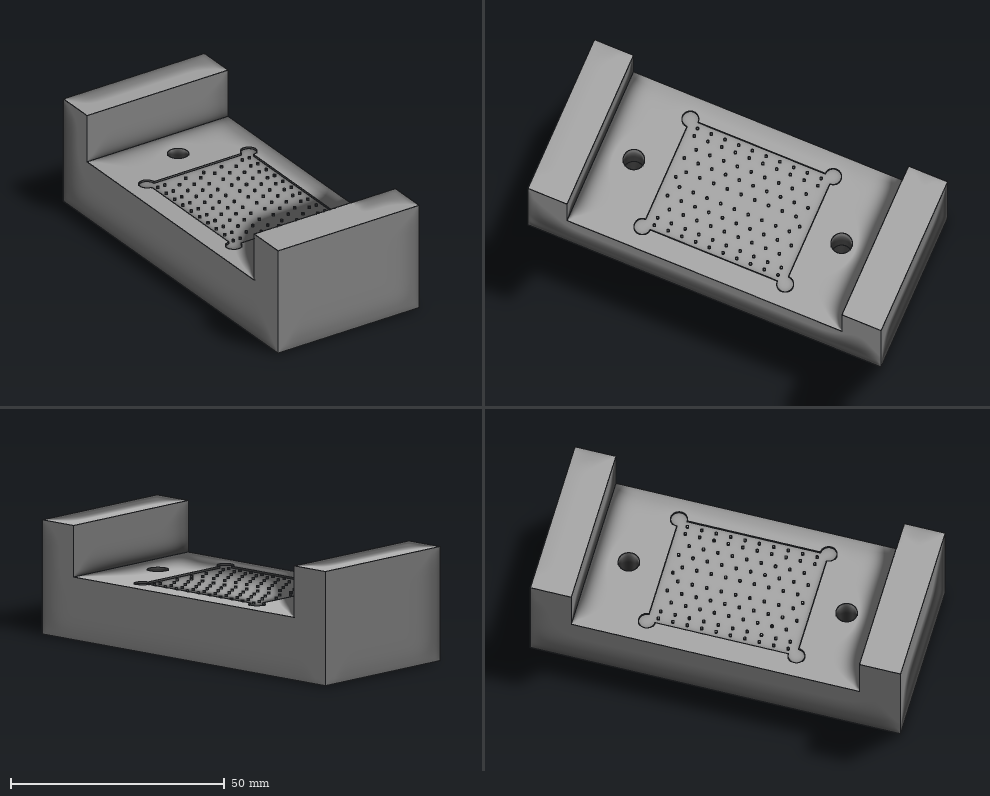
import cadquery as cq
import math

LENGTH = 90.0
WIDTH = 40.0
HEIGHT = 27.4
END_WALL = 10.0
FLOOR_HEIGHT = 15.0

POCKET_LENGTH = 36.4
POCKET_WIDTH = 28.8
POCKET_DEPTH = 0.45
RELIEF_DIAMETER = 4.0

DRILLED_DIAMETER = 5.0
DRILLED_DEPTH = 9.0
DRILL_POINT_ANGLE = 118
DRILLED_SPACING = 52.9

PIN_DIAMETER = 0.6
PIN_HEIGHT = 0.4
ROW_SPAN = 31.5
PINS_PER_FULL_ROW = 10
PIN_PITCH = ROW_SPAN / (PINS_PER_FULL_ROW - 1)
FULL_ROW_OFFSETS = [5.0, 11.0, 13.0]
STAGGERED_ROW_OFFSETS = [2.0, 8.0]


def make_body():
    """Block with a full-width channel that leaves a wall at each end."""
    block = cq.Workplane("XY").box(LENGTH, WIDTH, HEIGHT, centered=(True, True, False))
    channel = (
        cq.Workplane("XY")
        .workplane(offset=FLOOR_HEIGHT)
        .rect(LENGTH - 2 * END_WALL, WIDTH)
        .extrude(HEIGHT - FLOOR_HEIGHT)
    )
    return block.cut(channel)


def make_pocket():
    """Pocket volume with a relief circle centred on every corner."""
    bottom = cq.Workplane("XY").workplane(offset=FLOOR_HEIGHT - POCKET_DEPTH)
    pocket = bottom.rect(POCKET_LENGTH, POCKET_WIDTH).extrude(POCKET_DEPTH)
    reliefs = (
        bottom.rect(POCKET_LENGTH, POCKET_WIDTH, forConstruction=True)
        .vertices()
        .circle(RELIEF_DIAMETER / 2)
        .extrude(POCKET_DEPTH)
    )
    return pocket.union(reliefs)


def make_drilled_hole(x):
    """Straight-sided hole down from the channel floor, ending in a drill point."""
    radius = DRILLED_DIAMETER / 2
    point_depth = radius / math.tan(math.radians(DRILL_POINT_ANGLE / 2))
    tip_z = FLOOR_HEIGHT - DRILLED_DEPTH - point_depth
    return (
        cq.Workplane("XZ")
        .moveTo(0, FLOOR_HEIGHT)
        .lineTo(radius, FLOOR_HEIGHT)
        .lineTo(radius, FLOOR_HEIGHT - DRILLED_DEPTH)
        .lineTo(0, tip_z)
        .close()
        .revolve(360, (0, 0, 0), (0, 1, 0))
        .translate((x, 0, 0))
    )


def row_points(y, count):
    """Evenly pitched pin centres in one row, centred on X = 0."""
    first_x = -PIN_PITCH * (count - 1) / 2
    return [(first_x + i * PIN_PITCH, y) for i in range(count)]


def pin_points():
    """All pin centres, mirrored about the X axis, plus one at each end of it."""
    points = [(-ROW_SPAN / 2, 0), (ROW_SPAN / 2, 0)]
    for side in (-1, 1):
        for offset in FULL_ROW_OFFSETS:
            points += row_points(side * offset, PINS_PER_FULL_ROW)
        for offset in STAGGERED_ROW_OFFSETS:
            points += row_points(side * offset, PINS_PER_FULL_ROW - 1)
    return points


def make_pins():
    """Pins rising from the pocket floor."""
    return (
        cq.Workplane("XY")
        .workplane(offset=FLOOR_HEIGHT - POCKET_DEPTH)
        .pushPoints(pin_points())
        .circle(PIN_DIAMETER / 2)
        .extrude(PIN_HEIGHT)
    )


result = make_body().cut(make_pocket()).union(make_pins())
for side in (-1, 1):
    result = result.cut(make_drilled_hole(side * DRILLED_SPACING / 2))